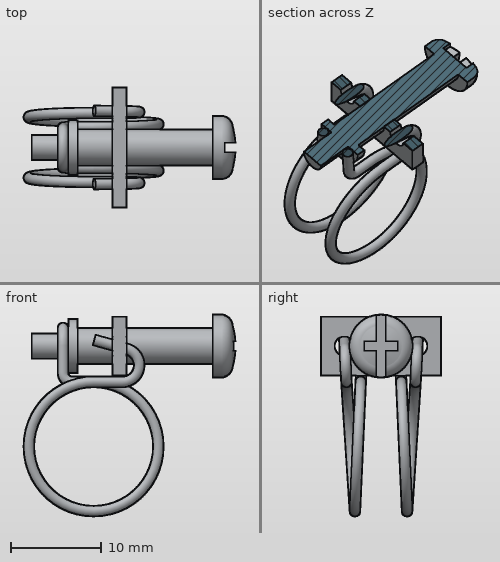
import cadquery as cq
import math


TIP_X = -6.86
TIP_RADIUS = 1.4
FLANGE_X = -2.79
FLANGE_THICKNESS = 1.03
FLANGE_RADIUS = 3.0
SHANK_RADIUS = 4.0 / 2
HEAD_X = 13.15
HEAD_RIM_THICKNESS = 1.08
HEAD_RADIUS = 7.0 / 2
CROWN_EDGE_X = 15.39
CROWN_EDGE_RADIUS = 2.3
CROWN_TOP_X = 15.71
HEAD_BULGE = 0.3
SLOT_WIDTH = 1.03
SLOT_FLOOR_X = 14.5
CROSS_LENGTH = 3.75

PLATE_X = 2.05
PLATE_THICKNESS = 1.6
PLATE_WIDTH = 13.3
PLATE_HEIGHT = 6.5
WIRE_HOLE_DIAMETER = 2.1
WIRE_HOLE_Y = 4.05

WIRE_RADIUS = 1.2 / 2
RING_RADIUS = 7.15
RING_CENTER_Z = -11.1
RING_TOP_Z = RING_CENTER_Z + RING_RADIUS
RING_BOTTOM_Z = RING_CENTER_Z - RING_RADIUS
RING_BOTTOM_Y = 2.88
LOOP_RADIUS = TIP_RADIUS + WIRE_RADIUS
LOOP_X = FLANGE_X - WIRE_RADIUS
LEG_SPLAY = math.radians(3.4)
BEND_RADIUS = 1.0
OUTER_TOP_Y = 3.82
HOOK_X = 3.19
HOOK_RADIUS = 1.85
HOOK_LEAN = math.radians(2.9)
END_SLOPE = math.radians(15.5)
END_LENGTH = 3.75


def make_screw():
    flange_end = FLANGE_X + FLANGE_THICKNESS
    rim_end = HEAD_X + HEAD_RIM_THICKNESS
    chord_x = CROWN_EDGE_X - rim_end
    chord_r = HEAD_RADIUS - CROWN_EDGE_RADIUS
    chord = math.hypot(chord_x, chord_r)
    side_middle = (
        (rim_end + CROWN_EDGE_X) / 2 + HEAD_BULGE * chord_r / chord,
        (HEAD_RADIUS + CROWN_EDGE_RADIUS) / 2 + HEAD_BULGE * chord_x / chord,
    )
    cap_height = CROWN_TOP_X - CROWN_EDGE_X
    cap_radius = (CROWN_EDGE_RADIUS**2 + cap_height**2) / (2 * cap_height)
    middle_radius = CROWN_EDGE_RADIUS / 2
    crown_middle = (
        CROWN_TOP_X - cap_radius + math.sqrt(cap_radius**2 - middle_radius**2),
        middle_radius,
    )
    body = (
        cq.Workplane("XY")
        .moveTo(TIP_X, 0)
        .lineTo(TIP_X, TIP_RADIUS)
        .lineTo(FLANGE_X, TIP_RADIUS)
        .lineTo(FLANGE_X, FLANGE_RADIUS)
        .lineTo(flange_end, FLANGE_RADIUS)
        .lineTo(flange_end, SHANK_RADIUS)
        .lineTo(HEAD_X, SHANK_RADIUS)
        .lineTo(HEAD_X, HEAD_RADIUS)
        .lineTo(rim_end, HEAD_RADIUS)
        .threePointArc(side_middle, (CROWN_EDGE_X, CROWN_EDGE_RADIUS))
        .threePointArc(crown_middle, (CROWN_TOP_X, 0))
        .close()
        .revolve(360, (0, 0, 0), (1, 0, 0))
    )
    floor = cq.Workplane("YZ").workplane(offset=SLOT_FLOOR_X)
    depth = CROWN_TOP_X - SLOT_FLOOR_X
    slot = floor.rect(SLOT_WIDTH, 2 * HEAD_RADIUS).extrude(depth)
    cross = floor.rect(CROSS_LENGTH, SLOT_WIDTH).extrude(depth)
    return body.cut(slot).cut(cross)


def make_plate():
    blank = (
        cq.Workplane("YZ")
        .workplane(offset=PLATE_X)
        .rect(PLATE_WIDTH, PLATE_HEIGHT)
        .extrude(PLATE_THICKNESS)
    )
    face = cq.Workplane("YZ").workplane(offset=PLATE_X)
    screw_hole = face.circle(SHANK_RADIUS).extrude(PLATE_THICKNESS)
    wire_holes = (
        face.pushPoints([(-WIRE_HOLE_Y, 0), (WIRE_HOLE_Y, 0)])
        .circle(WIRE_HOLE_DIAMETER / 2)
        .extrude(PLATE_THICKNESS)
    )
    return blank.cut(screw_hole).cut(wire_holes)


def leg_point(x, z):
    """Point at height z in the leaning plane that holds a loop leg and its bend."""
    y = (LOOP_RADIUS - z * math.sin(LEG_SPLAY)) / math.cos(LEG_SPLAY)
    return cq.Vector(x, y, z)


def hook_point(angle):
    """Point on the hook's arc, with the angle measured up from +X in its leaning plane."""
    rise = HOOK_RADIUS * (1 + math.sin(angle))
    return cq.Vector(
        HOOK_X + HOOK_RADIUS * math.cos(angle),
        OUTER_TOP_Y + rise * math.sin(HOOK_LEAN),
        RING_TOP_Z + rise * math.cos(HOOK_LEAN),
    )


def half_ring(start, end, side):
    """Half circle between the ring's top and bottom, bulging towards +X or -X."""
    middle = (start + end) * 0.5 + cq.Vector(side * (end - start).Length / 2, 0, 0)
    return cq.Edge.makeThreePointArc(start, middle, end)


def wire_half_path():
    """Edges on the +Y side, from the loop's end to the free end of the wire."""
    leg_top = leg_point(LOOP_X, LOOP_RADIUS * math.sin(LEG_SPLAY))
    bend_rise = BEND_RADIUS * math.cos(LEG_SPLAY)
    bend_start = leg_point(LOOP_X, RING_TOP_Z + bend_rise)
    bend_middle = leg_point(
        LOOP_X + BEND_RADIUS * (1 - math.sqrt(0.5)),
        RING_TOP_Z + bend_rise * (1 - math.sqrt(0.5)),
    )
    bend_end = leg_point(LOOP_X + BEND_RADIUS, RING_TOP_Z)
    inner_top = leg_point(0, RING_TOP_Z)
    ring_bottom = cq.Vector(0, RING_BOTTOM_Y, RING_BOTTOM_Z)
    outer_top = cq.Vector(0, OUTER_TOP_Y, RING_TOP_Z)
    hook_start = hook_point(-math.pi / 2)
    hook_end = hook_point(math.pi / 2 - END_SLOPE)
    end_rise = END_LENGTH * math.sin(END_SLOPE)
    free_end = hook_end + cq.Vector(
        -END_LENGTH * math.cos(END_SLOPE),
        end_rise * math.sin(HOOK_LEAN),
        end_rise * math.cos(HOOK_LEAN),
    )
    return [
        cq.Edge.makeLine(leg_top, bend_start),
        cq.Edge.makeThreePointArc(bend_start, bend_middle, bend_end),
        cq.Edge.makeLine(bend_end, inner_top),
        half_ring(inner_top, ring_bottom, 1),
        half_ring(ring_bottom, outer_top, -1),
        cq.Edge.makeLine(outer_top, hook_start),
        cq.Edge.makeThreePointArc(hook_start, hook_point(0), hook_end),
        cq.Edge.makeLine(hook_end, free_end),
    ]


def make_wire():
    half_path = cq.Wire.assembleEdges(wire_half_path())
    start = half_path.startPoint()
    down = half_path.tangentAt(0)
    leg = (
        cq.Workplane(cq.Plane(start, (1, 0, 0), down))
        .circle(WIRE_RADIUS)
        .sweep(cq.Workplane(half_path))
    )
    mirrored_start = cq.Vector(start.x, -start.y, start.z)
    loop_path = cq.Edge.makeThreePointArc(start, cq.Vector(LOOP_X, 0, LOOP_RADIUS), mirrored_start)
    loop = (
        cq.Workplane(cq.Plane(start, (1, 0, 0), down * -1))
        .circle(WIRE_RADIUS)
        .sweep(cq.Workplane(cq.Wire.assembleEdges([loop_path])))
    )
    return loop.union(leg).union(leg.mirror("XZ"))


screw = make_screw().solids()
plate = make_plate().solids()
wire = make_wire().solids()

result = cq.Compound.makeCompound([screw.val(), plate.val(), wire.val()])